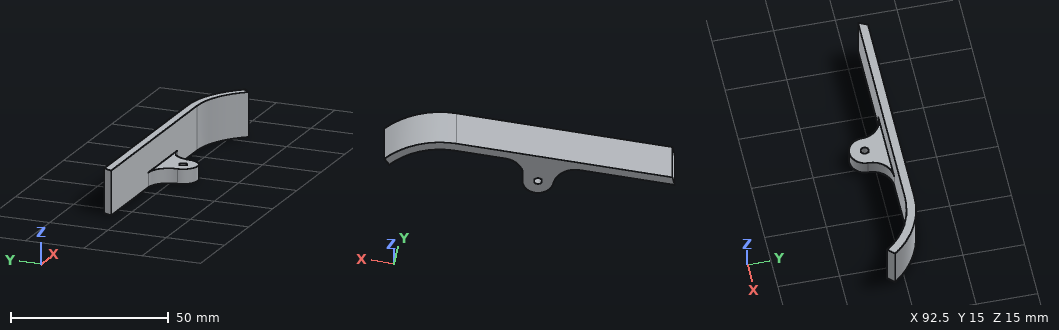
import cadquery as cq
import math

strip_thickness = 3.0
strip_height = 15.0
overall_length = 92.49
bevel_setback = 1.4
bend_start_x = 71.3
bend_inner_radius = 23.3
bend_outer_radius = bend_inner_radius + strip_thickness
bend_inner_angle = math.radians(55.0)

lug_height = 5.0
lug_radius = 5.0
lug_center_x = 42.85
lug_center_y = -10.0
hole_diameter = 2.5

front_face_y = -strip_thickness
flare_radius = front_face_y - lug_center_y
bend_center_y = -bend_outer_radius
bend_outer_angle = math.asin((overall_length - bend_start_x) / bend_outer_radius)


def bend_point(radius, angle):
    """Point on the bend, with the angle measured from the end of the flat bar."""
    x = bend_start_x + radius * math.sin(angle)
    y = bend_center_y + radius * math.cos(angle)
    return x, y


def make_strip():
    return (
        cq.Workplane("XY")
        .moveTo(0, front_face_y)
        .lineTo(bend_start_x, front_face_y)
        .threePointArc(
            bend_point(bend_inner_radius, bend_inner_angle / 2),
            bend_point(bend_inner_radius, bend_inner_angle),
        )
        .lineTo(*bend_point(bend_outer_radius, bend_outer_angle))
        .threePointArc(
            bend_point(bend_outer_radius, bend_outer_angle / 2),
            (bend_start_x, 0),
        )
        .lineTo(bevel_setback, 0)
        .close()
        .extrude(strip_height)
    )


def make_lug():
    left_x = lug_center_x - lug_radius
    right_x = lug_center_x + lug_radius
    flare_mid = flare_radius * math.sqrt(0.5)
    left_flare_x = left_x - flare_radius
    right_flare_x = right_x + flare_radius
    return (
        cq.Workplane("XY")
        .moveTo(left_flare_x, front_face_y)
        .threePointArc(
            (left_flare_x + flare_mid, lug_center_y + flare_mid),
            (left_x, lug_center_y),
        )
        .threePointArc((lug_center_x, lug_center_y - lug_radius), (right_x, lug_center_y))
        .threePointArc(
            (right_flare_x - flare_mid, lug_center_y + flare_mid),
            (right_flare_x, front_face_y),
        )
        .lineTo(right_flare_x, 0)
        .lineTo(left_flare_x, 0)
        .close()
        .extrude(lug_height)
    )


def make_hole():
    return (
        cq.Workplane("XY")
        .center(lug_center_x, lug_center_y)
        .circle(hole_diameter / 2)
        .extrude(lug_height)
    )


result = make_strip().union(make_lug()).cut(make_hole())